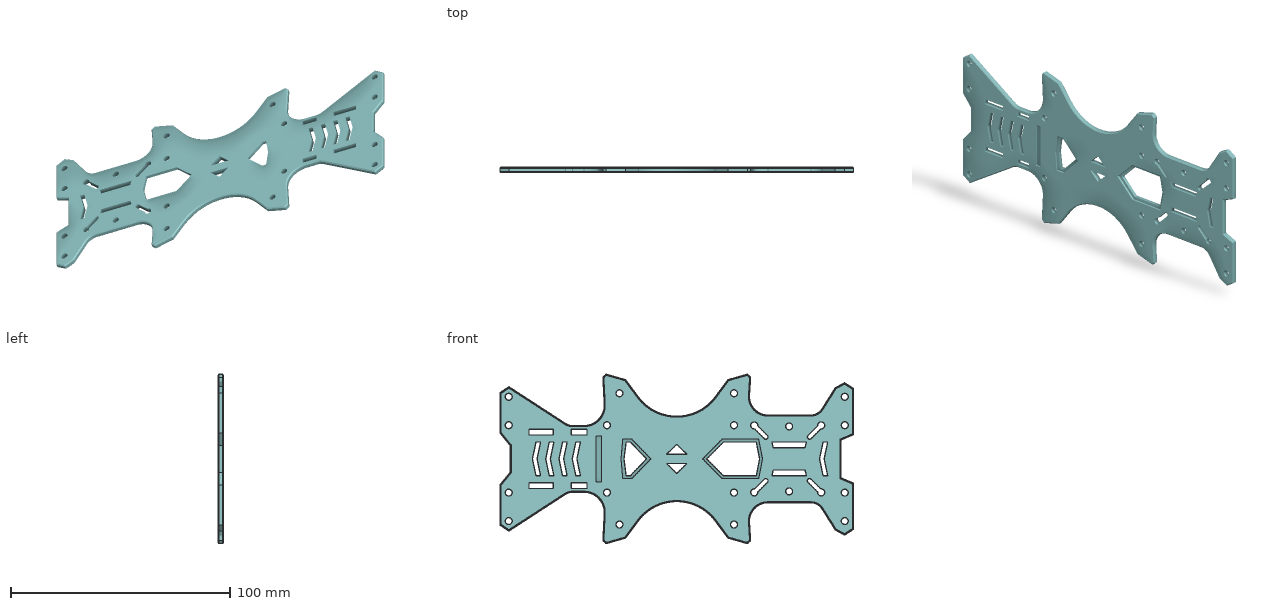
import cadquery as cq
import math

thickness = 2.5
edge_chamfer = 0.5
length = 161.28
half_width = 77.27 / 2
left_x = -length / 2
right_x = length / 2
front_y = -thickness / 2

tail_notch = [(-75.9, 6.1), (left_x, 11.9)]
tail_tip = [(left_x, 30.1), (-76.5, 32.9)]
tail_waist_z = 15.2
tail_valley = (-49.2, tail_waist_z)
arm_x = 33.7
arm_foot_x = 32.6
arm_tip_bevel = 1.5
arm_tip = [(arm_x, 37.2), (arm_x - arm_tip_bevel, half_width), (23.3, 36.1)]
bowl_corner = (0, 4.6)
nose_waist_z = 20.0
nose_valley = (64.4, nose_waist_z)
nose_tip = [(72.2, 32.4), (76.5, 34.7), (right_x, 32.0)]
nose_notch = [(right_x, 11.1), (74.8, 8.6)]

tail_valley_radius = 6.0
tail_armpit_radius = 9.2
bowl_radius = 21.8
nose_armpit_radius = 8.4
nose_valley_radius = 6.0

hole_diameter = 3.05
wing_hole_x = 76.55
wing_hole_z = 28.3
arm_hole = (26.1, 29.9)
inner_hole_z = 15.35
rear_inner_hole_x = -31.8
front_inner_hole_x = 26.1
nose_hole = (51.2, 14.8)

keyhole_center_x = 50.55
keyhole_outer = 15.25
keyhole_inner = 10.0
keyhole_head_diameter = 3.1
keyhole_slot_width = 2.0
keyhole_angle = 45

strap_slot_bottom = 10.9
strap_slot_top = 13.4
strap_slot_spans = [(-67.3, -56.3), (-48.0, -41.0)]
nose_slot_center_x = 51.2
nose_slot_half_top = 7.8
nose_slot_half_bottom = 7.2
nose_slot_bottom = 5.1
nose_slot_top = 7.6

chevron_half_height = 7.6
chevron_sweep = 1.6
chevron_width = 2.0
tail_chevron_x = -65.7
tail_chevron_pitch = 6.05
tail_chevron_count = 4
nose_chevron_x = 65.1

triangle_half_base = 4.5
triangle_base_z = 2.2
triangle_apex_z = 6.6

groove_x = -35.5
groove_width = 2.6
groove_height = 21.0
groove_depth = 1.0
groove_corner_radius = 0.5

recess_depth = 1.0
recess_half_height = 9.0
opening_half_height = 7.6
rear_recess = [(-25.4, 0), (-24.6, recess_half_height), (-20.5, recess_half_height), (-11.8, 0)]
rear_opening = [(-24.0, 0), (-23.0, opening_half_height), (-21.1, opening_half_height), (-13.8, 0)]
front_recess = [(11.8, 0), (20.7, recess_half_height), (37.3, recess_half_height), (39.1, 0)]
front_opening = [(13.7, 0), (21.2, opening_half_height), (36.2, opening_half_height), (37.7, 0)]


def front_plane(x=0):
    """Sketch plane on the front face, with its origin moved along X."""
    return cq.Workplane("XZ", origin=(x, front_y, 0))


def mirrored(points):
    """Points followed by their mirror images below Z = 0, in loop order."""
    return points + [(x, -z) for x, z in reversed(points) if z != 0]


def prism(points, depth=thickness):
    """Closed polygon in XZ, extruded backwards from the front face."""
    return front_plane().polyline(points).close().extrude(-depth)


def pins(centers, diameter):
    """Full-thickness cylinders at the given XZ centers."""
    return front_plane().pushPoints(centers).circle(diameter / 2).extrude(-thickness)


def both_sides(body):
    """A body together with its mirror image below Z = 0."""
    return body.union(body.mirror("XY"))


def make_plate():
    tail_armpit = (-arm_foot_x, tail_waist_z)
    nose_armpit = (arm_foot_x, nose_waist_z)
    rear_arm = [(-x, z) for x, z in arm_tip]
    front_arm = arm_tip[::-1]
    start = (tail_notch[0][0], 0)
    end = (nose_notch[-1][0], 0)
    outline = [start, *tail_notch, *tail_tip, tail_valley, tail_armpit, *rear_arm, bowl_corner]
    outline += [*front_arm, nose_armpit, nose_valley, *nose_tip, *nose_notch, end]
    half = prism(outline)
    rounded_corners = [
        (tail_valley, tail_valley_radius),
        (tail_armpit, tail_armpit_radius),
        (bowl_corner, bowl_radius),
        (nose_armpit, nose_armpit_radius),
        (nose_valley, nose_valley_radius),
    ]
    for (x, z), radius in rounded_corners:
        half = half.edges(cq.NearestToPointSelector((x, 0, z))).fillet(radius)
    return both_sides(half).faces("<Y or >Y").edges().chamfer(edge_chamfer)


def make_holes():
    centers = [
        (-wing_hole_x, wing_hole_z),
        (-wing_hole_x, inner_hole_z),
        (wing_hole_x, wing_hole_z),
        (wing_hole_x, inner_hole_z),
        (-arm_hole[0], arm_hole[1]),
        arm_hole,
        (rear_inner_hole_x, inner_hole_z),
        (front_inner_hole_x, inner_hole_z),
        nose_hole,
    ]
    return pins(mirrored(centers), hole_diameter)


def make_keyhole(side):
    """Upper keyhole slot; side is -1 towards the tail, 1 towards the nose."""
    middle = (keyhole_outer + keyhole_inner) / 2
    slot_length = (keyhole_outer - keyhole_inner) * math.sqrt(2) + keyhole_slot_width
    slot = (
        front_plane()
        .center(keyhole_center_x + side * middle, middle)
        .slot2D(slot_length, keyhole_slot_width, side * keyhole_angle)
        .extrude(-thickness)
    )
    head = pins([(keyhole_center_x + side * keyhole_outer, keyhole_outer)], keyhole_head_diameter)
    return slot.union(head)


def make_strap_slot(x_start, x_end):
    corners = [
        (x_start, strap_slot_bottom),
        (x_end, strap_slot_bottom),
        (x_end, strap_slot_top),
        (x_start, strap_slot_top),
    ]
    return prism(corners)


def make_nose_slot():
    corners = [
        (nose_slot_center_x - nose_slot_half_bottom, nose_slot_bottom),
        (nose_slot_center_x + nose_slot_half_bottom, nose_slot_bottom),
        (nose_slot_center_x + nose_slot_half_top, nose_slot_top),
        (nose_slot_center_x - nose_slot_half_top, nose_slot_top),
    ]
    return prism(corners)


def make_chevron(apex_x):
    end_x = apex_x + chevron_sweep
    upper = [
        (apex_x, 0),
        (end_x, chevron_half_height),
        (end_x + chevron_width, chevron_half_height),
        (apex_x + chevron_width, 0),
    ]
    return prism(mirrored(upper))


def make_triangle():
    return prism([
        (-triangle_half_base, triangle_base_z),
        (triangle_half_base, triangle_base_z),
        (0, triangle_apex_z),
    ])


def make_groove():
    return (
        front_plane(groove_x)
        .rect(groove_width, groove_height)
        .extrude(-groove_depth)
        .edges("|Y")
        .fillet(groove_corner_radius)
    )


def make_window(recess, opening):
    return prism(mirrored(recess), recess_depth).union(prism(mirrored(opening)))


result = make_plate().cut(make_holes()).cut(make_groove())

for side in (-1, 1):
    result = result.cut(both_sides(make_keyhole(side)))

for x_start, x_end in strap_slot_spans:
    result = result.cut(both_sides(make_strap_slot(x_start, x_end)))

for index in range(tail_chevron_count):
    result = result.cut(make_chevron(tail_chevron_x + index * tail_chevron_pitch))

result = result.cut(make_chevron(nose_chevron_x))
result = result.cut(both_sides(make_nose_slot()))
result = result.cut(both_sides(make_triangle()))
result = result.cut(make_window(rear_recess, rear_opening))
result = result.cut(make_window(front_recess, front_opening))